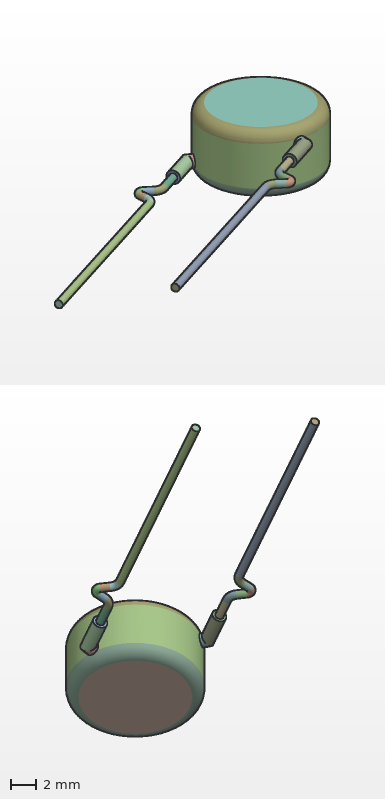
import cadquery as cq
import math

disc_diameter = 11.1
disc_height = 6.0
disc_edge_radius = 1.0

lead_spacing = 10.0
lead_height_offset = 1.6
wire_diameter = 0.7
lead_tip_y = disc_diameter / 2 - 37.3

sleeve_diameter = 1.2
sleeve_bend_y = -3.4
sleeve_end_y = -6.5
sleeve_root_share = 0.7

kink_start_y = -8.55
kink_reach = 1.5
kink_angle = 63.0
kink_outer_radius = 0.97
kink_peak_radius = 0.4

lead_x = lead_spacing / 2


def make_disc():
    disc = cq.Workplane("XY").cylinder(disc_height, disc_diameter / 2)
    return disc.faces("|Z").edges().fillet(disc_edge_radius)


def make_sleeve(side):
    """Round sleeve that leaves the disc radially, then turns at a mitre to run along -Y."""
    z = side * lead_height_offset
    bend = cq.Vector(side * lead_x, sleeve_bend_y, z)
    root = cq.Vector(bend.x * sleeve_root_share, bend.y * sleeve_root_share, z)
    end = cq.Vector(bend.x, sleeve_end_y, z)
    path = cq.Workplane("XY").add(cq.Wire.makePolygon([end, bend, root]))
    profile = cq.Workplane("XZ", origin=end.toTuple()).circle(sleeve_diameter / 2)
    return profile.sweep(path, transition="right")


def make_lead(side):
    """Wire from the sleeve bend to the tip, with an outward kink on the way."""
    angle = math.radians(kink_angle)
    half_angle = angle / 2
    both_radii = kink_outer_radius + kink_peak_radius
    slope = (kink_reach - both_radii * (1 - math.cos(angle))) / math.sin(angle)
    half_length = both_radii * math.sin(angle) + slope * math.cos(angle)
    peak_y = kink_start_y - half_length

    def point(outward, along):
        """Point on the wire, from its outward offset and its distance from the peak along Y."""
        return (side * (lead_x + outward), peak_y + along)

    def outer_bend(turn):
        """Offsets on the first bend, after the wire has turned by this angle from Y."""
        outward = kink_outer_radius * (1 - math.cos(turn))
        return outward, half_length - kink_outer_radius * math.sin(turn)

    mid_out, mid_along = outer_bend(half_angle)
    bend_out, bend_along = outer_bend(angle)
    peak_out = kink_reach - kink_peak_radius * (1 - math.cos(angle))
    peak_along = kink_peak_radius * math.sin(angle)

    path = (
        cq.Workplane("XY", origin=(0, 0, side * lead_height_offset))
        .moveTo(side * lead_x, sleeve_bend_y)
        .lineTo(*point(0, half_length))
        .threePointArc(point(mid_out, mid_along), point(bend_out, bend_along))
        .lineTo(*point(peak_out, peak_along))
        .threePointArc(point(kink_reach, 0), point(peak_out, -peak_along))
        .lineTo(*point(bend_out, -bend_along))
        .threePointArc(point(mid_out, -mid_along), point(0, -half_length))
        .lineTo(side * lead_x, lead_tip_y)
    )
    start = (side * lead_x, sleeve_bend_y, side * lead_height_offset)
    return cq.Workplane("XZ", origin=start).circle(wire_diameter / 2).sweep(path)


sides = (-1, 1)
leads = [make_lead(side) for side in sides]

coating = make_disc()
for side in sides:
    coating = coating.union(make_sleeve(side))
for lead in leads:
    coating = coating.cut(lead)

result = cq.Compound.makeCompound([coating.solids().val(), *[lead.val() for lead in leads]])